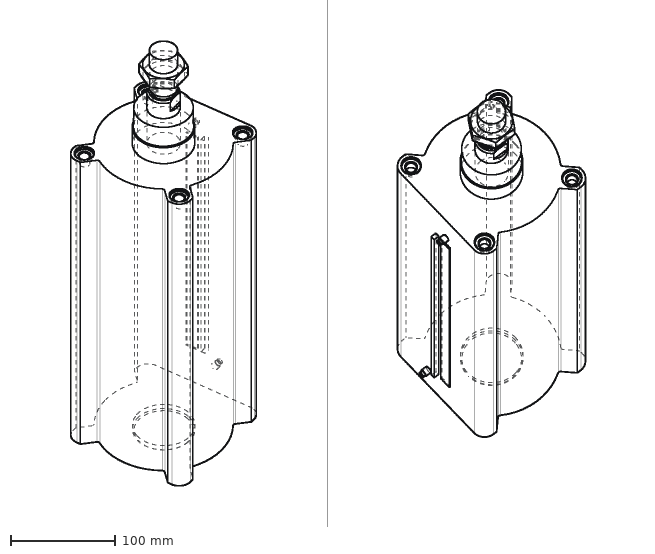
import cadquery as cq
import math

TOTAL_HEIGHT = 485.0
BARREL_BOTTOM = 7.0
BARREL_TOP = 366.5
COLLAR_STEP = 388.0
COLLAR_TOP = 412.0
RELIEF_BOTTOM = 433.0
RELIEF_TOP = 437.5
NUT_BOTTOM = 454.0
NUT_TOP = 467.0
BARREL_LENGTH = BARREL_TOP - BARREL_BOTTOM

HALF_WIDTH = 68.0
BARREL_RADIUS = 67.0
EAR_RADIUS = 13.0
EAR_CENTRE = HALF_WIDTH - EAR_RADIUS
EAR_FLAT_END = 50.5
FLANK_OFFSET = HALF_WIDTH - EAR_FLAT_END
NOTCH_FILLET = 2.5

COUNTERBORE_MOUTH_DIAMETER = 19.5
COUNTERBORE_DIAMETER = 18.0
COUNTERBORE_DEPTH = 3.0
BORE_MOUTH_DIAMETER = 12.0
BORE_DIAMETER = 10.0
BORE_DEPTH = 9.5

GUIDE_DIAMETER = 60.0
COLLAR_BASE_DIAMETER = 58.0
COLLAR_TOP_DIAMETER = 57.0
COLLAR_CHAMFER = 1.0
FOOT_CHAMFER = 1.5

ROD_DIAMETER = 32.0
ROD_CHAMFER = 2.0
THREAD_DIAMETER = 27.0
RELIEF_DIAMETER = 24.2
FLAT_WIDTH = THREAD_DIAMETER
FLAT_BOTTOM = 420.0

NUT_ACROSS_FLATS = 41.0
NUT_FACE_DIAMETER = 40.3
NUT_CHAMFER_ANGLE = 20

FITTING_X = 13.0
FITTING_HIGH_Z = 333.0
FITTING_LOW_Z = 38.5
FITTING_DIAMETER = 7.5
FITTING_BODY_HEIGHT = 6.5
FITTING_TIP_DIAMETER = 6.0
FITTING_HEIGHT = 9.0
RAIL_WIDTH = 4.5
RAIL_HEIGHT = 6.0
PLATE_WIDTH = 13.0
PLATE_HEIGHT = 1.5
STRIP_BOTTOM = 50.0
STRIP_TOP = 321.0


def cylinder(diameter, bottom, top):
    """Cylinder on the Z axis between two heights."""
    return cq.Workplane("XY").workplane(offset=bottom).circle(diameter / 2).extrude(top - bottom)


def cone(bottom_diameter, top_diameter, bottom, top):
    """Cone frustum on the Z axis between two heights."""
    base = cq.Vector(0, 0, bottom)
    return cq.Workplane(cq.Solid.makeCone(bottom_diameter / 2, top_diameter / 2, top - bottom, base))


def corner_ear():
    """Ear in the +X +Y corner: a rounded tip with a 45 degree flank on each side, reaching the axis."""
    arc_middle = EAR_CENTRE + EAR_RADIUS * math.sqrt(0.5)
    return (
        cq.Workplane("XY")
        .workplane(offset=BARREL_BOTTOM)
        .moveTo(0, 0)
        .lineTo(0, FLANK_OFFSET)
        .lineTo(EAR_FLAT_END, HALF_WIDTH)
        .lineTo(EAR_CENTRE, HALF_WIDTH)
        .threePointArc((arc_middle, arc_middle), (HALF_WIDTH, EAR_CENTRE))
        .lineTo(HALF_WIDTH, EAR_FLAT_END)
        .lineTo(FLANK_OFFSET, 0)
        .close()
        .extrude(BARREL_LENGTH)
    )


def fillet_notches(barrel):
    """Round the inner corners where the ear flanks meet the round wall."""
    coordinate_sum = math.sqrt(2 * BARREL_RADIUS**2 - FLANK_OFFSET**2)
    near = (coordinate_sum - FLANK_OFFSET) / 2
    far = (coordinate_sum + FLANK_OFFSET) / 2
    middle = (BARREL_BOTTOM + BARREL_TOP) / 2
    for side in (-1, 1):
        for x, y in [(far, near), (far, -near), (near, -far)]:
            notch = cq.selectors.NearestToPointSelector((side * x, y, middle))
            barrel = barrel.edges(notch).fillet(NOTCH_FILLET)
    return barrel


def make_barrel():
    """Round wall with four corner ears and a flat +Y side."""
    barrel = cylinder(2 * BARREL_RADIUS, BARREL_BOTTOM, BARREL_TOP)
    for quarter_turns in range(4):
        barrel = barrel.union(corner_ear().rotate((0, 0, 0), (0, 0, 1), 90 * quarter_turns))
    flat_side = cq.Workplane("XY", origin=(0, 0, BARREL_BOTTOM)).box(
        2 * EAR_FLAT_END, HALF_WIDTH, BARREL_LENGTH, centered=(True, False, False)
    )
    return fillet_notches(barrel.union(flat_side))


def screw_hole():
    """Cutter on the Z axis for one stepped hole that opens at the top of the barrel."""
    floor = BARREL_TOP - COUNTERBORE_DEPTH
    mouth_start = BARREL_TOP - (COUNTERBORE_MOUTH_DIAMETER - COUNTERBORE_DIAMETER) / 2
    bore_mouth_start = floor - (BORE_MOUTH_DIAMETER - BORE_DIAMETER) / 2
    hole = cylinder(COUNTERBORE_DIAMETER, floor, BARREL_TOP)
    hole = hole.union(cone(COUNTERBORE_DIAMETER, COUNTERBORE_MOUTH_DIAMETER, mouth_start, BARREL_TOP))
    hole = hole.union(cylinder(BORE_DIAMETER, floor - BORE_DEPTH, floor))
    return hole.union(cone(BORE_DIAMETER, BORE_MOUTH_DIAMETER, bore_mouth_start, floor))


def fitting(x, z):
    """Stepped round fitting pointing out of the +Y face."""
    base = cq.Workplane("XZ", origin=(x, HALF_WIDTH, z))
    body = base.circle(FITTING_DIAMETER / 2).extrude(-FITTING_BODY_HEIGHT)
    tip = base.circle(FITTING_TIP_DIAMETER / 2).extrude(-FITTING_HEIGHT)
    return body.union(tip)


def face_strip(x, width, height):
    """Long upright strip on the +Y face."""
    return cq.Workplane("XY", origin=(x, HALF_WIDTH, STRIP_BOTTOM)).box(
        width, height, STRIP_TOP - STRIP_BOTTOM, centered=(True, False, False)
    )


def make_housing():
    housing = make_barrel()

    guide = cylinder(GUIDE_DIAMETER, BARREL_TOP, COLLAR_STEP).faces(">Z").chamfer(COLLAR_CHAMFER)
    collar = cone(COLLAR_BASE_DIAMETER, COLLAR_TOP_DIAMETER, COLLAR_STEP, COLLAR_TOP)
    foot = cylinder(GUIDE_DIAMETER, 0, BARREL_BOTTOM).faces("<Z").chamfer(FOOT_CHAMFER)
    housing = housing.union(guide).union(collar).union(foot)

    for side_x in (-1, 1):
        for side_y in (-1, 1):
            housing = housing.cut(screw_hole().translate((side_x * EAR_CENTRE, side_y * EAR_CENTRE, 0)))

    housing = housing.union(fitting(-FITTING_X, FITTING_HIGH_Z))
    housing = housing.union(fitting(FITTING_X, FITTING_LOW_Z))
    housing = housing.union(face_strip(0, RAIL_WIDTH, RAIL_HEIGHT))
    housing = housing.union(face_strip(-FITTING_X, PLATE_WIDTH, PLATE_HEIGHT))

    return housing.cut(cylinder(ROD_DIAMETER, BARREL_TOP, COLLAR_TOP))


def make_rod():
    rod = cylinder(ROD_DIAMETER, BARREL_TOP, RELIEF_BOTTOM).faces(">Z").chamfer(ROD_CHAMFER)
    rod = rod.union(cone(RELIEF_DIAMETER, THREAD_DIAMETER, RELIEF_BOTTOM, RELIEF_TOP))
    rod = rod.union(cylinder(THREAD_DIAMETER, RELIEF_TOP, TOTAL_HEIGHT))

    flat_depth = (ROD_DIAMETER - FLAT_WIDTH) / 2
    flat_centre = (FLAT_WIDTH + flat_depth) / 2
    for side in (-1, 1):
        flat = cq.Workplane("XY", origin=(side * flat_centre, 0, FLAT_BOTTOM)).box(
            flat_depth, ROD_DIAMETER, RELIEF_BOTTOM - FLAT_BOTTOM, centered=(True, True, False)
        )
        rod = rod.cut(flat)
    return rod


def make_nut():
    """Hexagon nut with flats facing -X and +X and both ends chamfered conically."""
    across_corners = NUT_ACROSS_FLATS / math.cos(math.radians(30))
    hexagon = (
        cq.Workplane("XY")
        .workplane(offset=NUT_BOTTOM)
        .transformed(rotate=(0, 0, 30))
        .polygon(6, across_corners)
        .extrude(NUT_TOP - NUT_BOTTOM)
    )
    drop = (across_corners - NUT_FACE_DIAMETER) / 2 * math.tan(math.radians(NUT_CHAMFER_ANGLE))
    turned_blank = cylinder(across_corners, NUT_BOTTOM + drop, NUT_TOP - drop)
    turned_blank = turned_blank.union(cone(NUT_FACE_DIAMETER, across_corners, NUT_BOTTOM, NUT_BOTTOM + drop))
    turned_blank = turned_blank.union(cone(across_corners, NUT_FACE_DIAMETER, NUT_TOP - drop, NUT_TOP))
    return hexagon.intersect(turned_blank).cut(cylinder(THREAD_DIAMETER, NUT_BOTTOM, NUT_TOP))


housing = make_housing().solids()
rod = make_rod().solids()
nut = make_nut().solids()

result = cq.Compound.makeCompound([housing.val(), rod.val(), nut.val()])